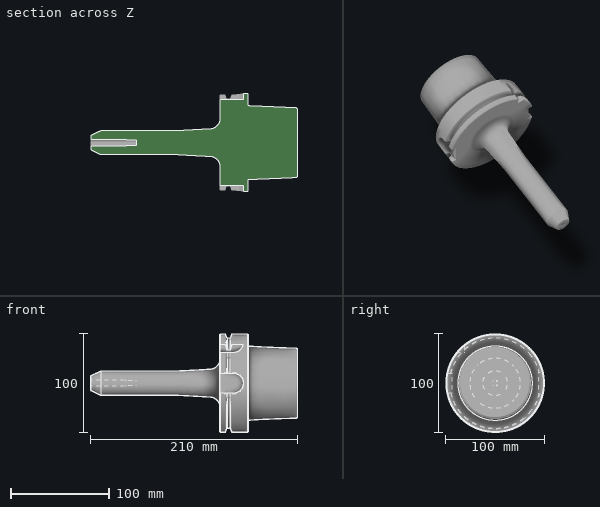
import cadquery as cq
import math

shank_length = 50.0
flange_width = 29.0
overall_length = 210.0
flange_front = -flange_width
tip_x = shank_length - overall_length

tip_radius = 7.6
tip_length = 10.3
tip_edge_radius = 0.9
stem_radius = 25.0 / 2
cone_start = -72.2
cone_end = -40.3
root_radius = 28.5 / 2
root_fillet = 10.5
root_relief_depth = 0.2
root_relief_radius = 25.5
bore_diameter = 6.0
bore_depth = 36.0
pilot_diameter = 5.0
pilot_depth = 10.0

flange_radius = 100.0 / 2
flange_chamfer = 0.8
groove_center = -20.0
groove_floor_radius = 46.0
groove_lip_half_width = 3.25
groove_flank_angle = 20.0
groove_edge_radius = 0.7

shank_start_radius = 37.8
shank_end_radius = 35.7
shank_edge_radius = 1.6

slot_end_x = -5.0
slot_corner_radius = 10.0
slot_mouth_overrun = 1.0
key_floor = 44.0
front_key_width = 2 * slot_corner_radius
back_key_width = 22.0
notch_floor = 31.25
notch_width = 2 * slot_corner_radius


def turned_body():
    """Solid of revolution about X: nose, flange blank and shank."""
    fillet_end = flange_front + root_relief_depth
    fillet_start = fillet_end - root_fillet
    fillet_mid_offset = root_fillet * math.sqrt(0.5)
    profile = (
        cq.Workplane("XY")
        .moveTo(tip_x, 0)
        .lineTo(tip_x, tip_radius)
        .lineTo(tip_x + tip_length, stem_radius)
        .lineTo(cone_start, stem_radius)
        .lineTo(cone_end, root_radius)
        .lineTo(fillet_start, root_radius)
        .threePointArc(
            (fillet_start + fillet_mid_offset, root_radius + root_fillet - fillet_mid_offset),
            (fillet_end, root_radius + root_fillet),
        )
        .lineTo(fillet_end, root_relief_radius)
        .lineTo(flange_front, root_relief_radius)
        .lineTo(flange_front, flange_radius - flange_chamfer)
        .lineTo(flange_front + flange_chamfer, flange_radius)
        .lineTo(-flange_chamfer, flange_radius)
        .lineTo(0, flange_radius - flange_chamfer)
        .lineTo(0, shank_start_radius)
        .lineTo(shank_length, shank_end_radius)
        .lineTo(shank_length, 0)
        .close()
    )
    body = profile.revolve(360, (0, 0, 0), (1, 0, 0))
    body = body.faces(">X").edges().fillet(shank_edge_radius)
    return body.faces("<X").edges().fillet(tip_edge_radius)


def cut_groove(body):
    """Cut the V groove around the rim and round its floor corners and lips."""
    depth = flange_radius - groove_floor_radius
    floor_half_width = groove_lip_half_width - depth * math.tan(math.radians(groove_flank_angle))
    ring = (
        cq.Workplane("XY")
        .moveTo(groove_center - floor_half_width, groove_floor_radius)
        .lineTo(groove_center + floor_half_width, groove_floor_radius)
        .lineTo(groove_center + groove_lip_half_width, flange_radius)
        .lineTo(groove_center - groove_lip_half_width, flange_radius)
        .close()
        .revolve(360, (0, 0, 0), (1, 0, 0))
    )
    half_range = groove_lip_half_width + groove_edge_radius
    groove_range = cq.selectors.BoxSelector(
        (groove_center - half_range, -flange_radius, -flange_radius),
        (groove_center + half_range, flange_radius, flange_radius),
    )
    return body.cut(ring).edges("%CIRCLE").edges(groove_range).fillet(groove_edge_radius)


def rim_slot(side, floor, width, center_z):
    """Slot with rounded inner corners, open to the front; side is +1 for +Y and -1 for -Y."""
    half_width = width / 2
    end_flat = half_width - slot_corner_radius
    arc_start_x = slot_end_x - slot_corner_radius
    mouth_x = flange_front - slot_mouth_overrun
    outline = (
        cq.Workplane("XZ", origin=(0, side * floor, center_z))
        .moveTo(arc_start_x, half_width)
        .lineTo(mouth_x, half_width)
        .lineTo(mouth_x, -half_width)
        .lineTo(arc_start_x, -half_width)
    )
    if end_flat > 0:
        outline = (
            outline.radiusArc((slot_end_x, -end_flat), -slot_corner_radius)
            .lineTo(slot_end_x, end_flat)
            .radiusArc((arc_start_x, half_width), -slot_corner_radius)
            .close()
        )
    else:
        outline = outline.threePointArc((slot_end_x, 0), (arc_start_x, half_width)).close()
    return outline.extrude(-side * (flange_radius - floor))


def tool_bore():
    """Blind bore in the tip that steps down to a smaller pilot hole."""
    mouth = cq.Workplane("YZ", origin=(tip_x, 0, 0))
    bore = mouth.circle(bore_diameter / 2).extrude(bore_depth)
    pilot = mouth.circle(pilot_diameter / 2).extrude(bore_depth + pilot_depth)
    return bore.union(pilot)


result = (
    cut_groove(turned_body())
    .cut(rim_slot(-1, key_floor, front_key_width, 0))
    .cut(rim_slot(1, key_floor, back_key_width, 0))
    .cut(rim_slot(-1, notch_floor, notch_width, notch_floor + notch_width / 2))
    .cut(tool_bore())
)